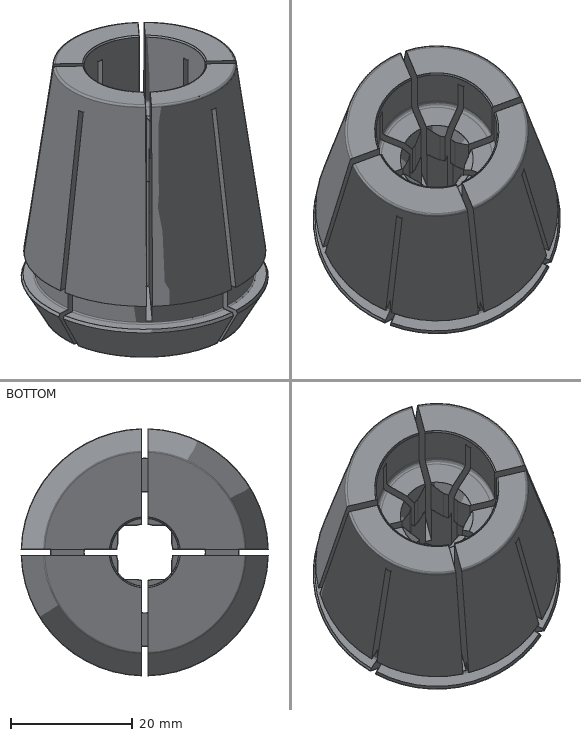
import cadquery as cq
import math

total_height = 46.0
nose_angle = 30.0
taper_angle = 8.0
nose_end_radius = 16.66
flange_top_z = 7.0
groove_radius = 18.1
groove_top_z = 11.2
taper_large_radius = 20.0
flange_edge_chamfer = 0.6
taper_end_fillet = 0.4
nose_end_fillet = 0.2
groove_corner_fillet = 0.25

counterbore_radius = 10.0
counterbore_floor_z = 33.2
counterbore_floor_fillet = 0.8
mouth_chamfer = 0.25
square_width = 8.9
square_relief_radius = 4.65
square_length = 12.0
countersink_radius = 6.0
shank_radius = 5.6

slot_width = 1.0
nose_slot_top_z = 43.0
taper_slot_floor_z = 7.5
taper_slot_turn = 45

flange_radius = nose_end_radius + flange_top_z * math.tan(math.radians(nose_angle))
taper_length = total_height - groove_top_z
taper_small_radius = taper_large_radius - taper_length * math.tan(math.radians(taper_angle))
slot_length = 2.5 * flange_radius
square_bottom_z = counterbore_floor_z - square_length


def ring_edge(radius, z):
    """Selector for the circular edge of the given radius at height z."""
    reach = 0.01
    return cq.selectors.BoxSelector(
        (-radius - reach, -radius - reach, z - reach),
        (radius + reach, radius + reach, z + reach),
        boundingbox=True,
    )


def cylinder(radius, bottom_z, top_z):
    return cq.Workplane("XY").workplane(offset=bottom_z).circle(radius).extrude(top_z - bottom_z)


def cone(start_radius, end_radius, start_z, rise):
    """Cone along Z from start_z; a negative rise makes it point down."""
    start = cq.Vector(0, 0, start_z)
    direction = cq.Vector(0, 0, math.copysign(1, rise))
    return cq.Workplane(cq.Solid.makeCone(start_radius, end_radius, abs(rise), start, direction))


def make_body():
    """Nose cone, nut groove and clamping taper with their rounded edges."""
    body = (
        cq.Workplane("XZ")
        .moveTo(0, 0)
        .lineTo(nose_end_radius, 0)
        .lineTo(flange_radius, flange_top_z)
        .lineTo(groove_radius, flange_top_z)
        .lineTo(groove_radius, groove_top_z)
        .lineTo(taper_large_radius, groove_top_z)
        .lineTo(taper_small_radius, total_height)
        .lineTo(0, total_height)
        .close()
        .revolve(360, (0, 0), (0, 1))
    )
    body = body.edges(ring_edge(groove_radius, flange_top_z)).fillet(groove_corner_fillet)
    body = body.edges(ring_edge(groove_radius, groove_top_z)).fillet(groove_corner_fillet)
    body = body.edges(ring_edge(flange_radius, flange_top_z)).chamfer(flange_edge_chamfer)
    body = body.faces("<Z").edges().fillet(nose_end_fillet)
    return body.edges(ring_edge(taper_small_radius, total_height)).fillet(taper_end_fillet)


def make_counterbore():
    """Large bore from the taper end, with a rounded floor corner and a chamfered mouth."""
    bore = cylinder(counterbore_radius, counterbore_floor_z, total_height)
    bore = bore.faces("<Z").edges().fillet(counterbore_floor_fillet)
    mouth = cone(counterbore_radius + mouth_chamfer, counterbore_radius, total_height, -mouth_chamfer)
    return bore.union(mouth)


def make_square_drive():
    """Square hole with relieved flats and a conical lead-in from the counterbore floor."""
    square = (
        cq.Workplane("XY")
        .workplane(offset=square_bottom_z)
        .rect(square_width, square_width)
        .extrude(square_length)
        .intersect(cylinder(countersink_radius, square_bottom_z, counterbore_floor_z))
    )
    relief = cylinder(square_relief_radius, square_bottom_z, counterbore_floor_z)
    lead_in = cone(countersink_radius, 0, counterbore_floor_z, -countersink_radius)
    return square.union(relief).union(lead_in)


def make_shank_bore():
    """Round bore from the nose end up to the square, with a chamfered mouth."""
    bore = cylinder(shank_radius, 0, square_bottom_z)
    return bore.union(cone(shank_radius + mouth_chamfer, shank_radius, 0, mouth_chamfer))


def make_slot(angle, bottom_z, top_z):
    """Thin slot across the full diameter, turned about Z."""
    return (
        cq.Workplane("XY")
        .workplane(offset=bottom_z)
        .rect(slot_length, slot_width)
        .extrude(top_z - bottom_z)
        .rotate((0, 0, 0), (0, 0, 1), angle)
    )


result = make_body()
result = result.cut(make_counterbore())
result = result.cut(make_square_drive())
result = result.cut(make_shank_bore())
for slot_angle in (0, 90):
    result = result.cut(make_slot(slot_angle, 0, nose_slot_top_z))
    result = result.cut(make_slot(slot_angle + taper_slot_turn, taper_slot_floor_z, total_height))